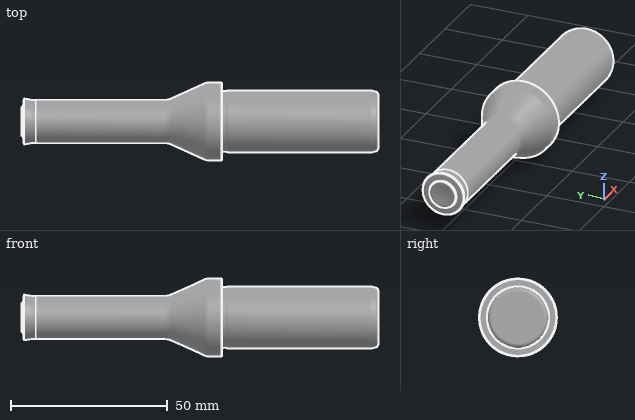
import cadquery as cq
import math

total_length = 114.0

rim_radius = 14.7 / 2
rim_x = 0.9
bevel_x = 0.7
bevel_radius = 7.1
face_edge_x = 0.6
face_edge_radius = 6.3
taper_end_x = 3.2
taper_end_radius = 7.0
joint_x = 4.6
joint_radius = 13.8 / 2
boss_base_x = 0.5
boss_base_radius = 4.8
boss_radius = 4.6
dish_radius = 3.6
dish_floor_x = 0.2
dish_floor_radius = 1.9
dish_center_x = 0.3

neck_radius = 13.9 / 2
neck_chamfer_end_x = 4.9
collar_radius = 25.0 / 2
cone_start_x = 46.9
cone_end_x = 59.0
cone_base_blend = 4.9
cone_top_blend = 2.6
collar_end_x = 64.1
collar_chamfer = 0.28

shank_radius = 20.0 / 2
relief_radius = 19.5 / 2
relief_corner = 0.28
relief_end_x = 65.2
shank_start_x = 66.1
shank_taper_x = 111.7
end_round = 1.4
end_round_x = total_length - end_round
end_round_radius = 9.7

AXIS_START = (0, 0)
AXIS_END = (1, 0)


def turn(profile):
    """Revolve a closed half-profile about the X axis."""
    return profile.close().revolve(360, AXIS_START, AXIS_END)


def make_tip():
    """Tip with a dished boss on its face, a double-beveled edge and a back-tapered rim."""
    return turn(
        cq.Workplane("XY")
        .moveTo(dish_center_x, 0)
        .lineTo(dish_floor_x, dish_floor_radius)
        .lineTo(0, dish_radius)
        .lineTo(0, boss_radius)
        .lineTo(boss_base_x, boss_base_radius)
        .lineTo(face_edge_x, face_edge_radius)
        .lineTo(bevel_x, bevel_radius)
        .lineTo(rim_x, rim_radius)
        .lineTo(taper_end_x, taper_end_radius)
        .lineTo(joint_x, joint_radius)
        .lineTo(joint_x, 0)
    )


def make_holder():
    """Neck, conical collar, relief groove and shank turned from one piece."""
    cone_angle = math.atan2(collar_radius - neck_radius, cone_end_x - cone_start_x)
    base_setback = cone_base_blend * math.tan(cone_angle / 2)
    top_setback = cone_top_blend * math.tan(cone_angle / 2)
    run = math.cos(cone_angle)
    rise = math.sin(cone_angle)
    return turn(
        cq.Workplane("XY")
        .moveTo(joint_x, 0)
        .lineTo(joint_x, joint_radius)
        .lineTo(neck_chamfer_end_x, neck_radius)
        .lineTo(cone_start_x - base_setback, neck_radius)
        .tangentArcPoint(
            (cone_start_x + base_setback * run, neck_radius + base_setback * rise), relative=False
        )
        .lineTo(cone_end_x - top_setback * run, collar_radius - top_setback * rise)
        .tangentArcPoint((cone_end_x + top_setback, collar_radius), relative=False)
        .lineTo(collar_end_x - collar_chamfer, collar_radius)
        .lineTo(collar_end_x, collar_radius - collar_chamfer)
        .lineTo(collar_end_x, relief_radius + relief_corner)
        .radiusArc((collar_end_x + relief_corner, relief_radius), -relief_corner)
        .lineTo(relief_end_x, relief_radius)
        .lineTo(shank_start_x, shank_radius)
        .lineTo(shank_taper_x, shank_radius)
        .lineTo(end_round_x, end_round_radius)
        .radiusArc((total_length, end_round_radius - end_round), end_round)
        .lineTo(total_length, 0)
    )


tip = make_tip()
holder = make_holder()

result = cq.Compound.makeCompound([tip.val(), holder.val()])